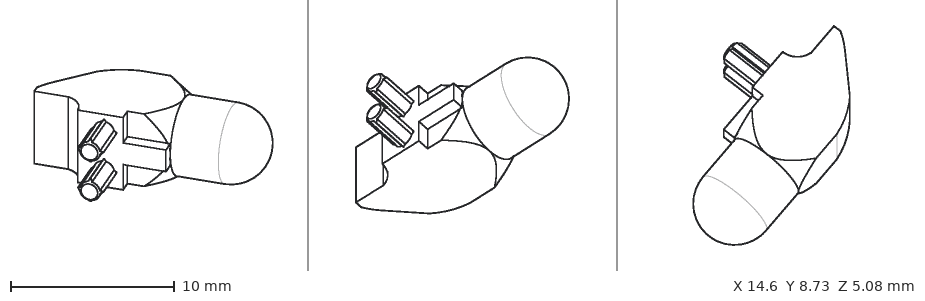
import cadquery as cq
import math

length = 14.59
radius = 2.54
thickness = 2 * radius
shoulder_x = 8.97

base_y = -3.37
step_y = -1.98
nose_top_y = -1.46
notch_start_x = 2.2
notch_end_x = 3.27
notch_radius = 1.45
slope_start = (0.76, -0.5)
slope_end = (2.86, 1.6)
crown_x = 5.3
corner_arc_radius = 5.25

cone_slope = 1.62

relief_x = 6.2
rib_width = 1.52

pin_x = 4.98
pin_spacing = 2.77
pin_tip_y = -6.19
pin_radius = 0.65
ridge_radius = 0.83
ridge_half_width = 0.13
tip_chamfer = 0.29


def arc_midpoint(start, end, arc_radius):
    """Middle of the minor arc bulging to the left of start -> end."""
    dx = end[0] - start[0]
    dy = end[1] - start[1]
    chord = math.hypot(dx, dy)
    sagitta = arc_radius - math.sqrt(arc_radius**2 - chord**2 / 4)
    mid_x = (start[0] + end[0]) / 2
    mid_y = (start[1] + end[1]) / 2
    return (mid_x - dy / chord * sagitta, mid_y + dx / chord * sagitta)


def make_body():
    nose_top = (0, nose_top_y)
    crown = (crown_x, radius)
    notch_start = (notch_start_x, step_y)
    notch_end = (notch_end_x, base_y)
    return (
        cq.Workplane("XY", origin=(0, 0, -thickness / 2))
        .moveTo(0, step_y)
        .lineTo(*nose_top)
        .threePointArc(arc_midpoint(nose_top, slope_start, corner_arc_radius), slope_start)
        .lineTo(*slope_end)
        .threePointArc(arc_midpoint(slope_end, crown, corner_arc_radius), crown)
        .lineTo(shoulder_x, radius)
        .lineTo(shoulder_x, base_y)
        .lineTo(*notch_end)
        .threePointArc(arc_midpoint(notch_start, notch_end, notch_radius), notch_start)
        .close()
        .extrude(thickness)
    )


def make_reliefs():
    """Blocks that leave only the rib below the barrel."""
    run = shoulder_x - relief_x
    depth = -radius - base_y
    height = (thickness - rib_width) / 2
    offset = (thickness + rib_width) / 4
    block = cq.Workplane("XY").box(run, depth, height, centered=(False, False, True))
    block = block.translate((relief_x, base_y, 0))
    return block.translate((0, 0, offset)).union(block.translate((0, 0, -offset)))


def make_cone_cutter():
    """Material outside the cone, within the square around the barrel."""
    run = shoulder_x - relief_x
    square = cq.Workplane("XY").box(run, thickness, thickness, centered=(False, True, True))
    square = square.translate((relief_x, 0, 0))
    cone = (
        cq.Workplane("XY")
        .moveTo(relief_x, 0)
        .lineTo(relief_x, radius + run / cone_slope)
        .lineTo(shoulder_x, radius)
        .lineTo(shoulder_x, 0)
        .close()
        .revolve(360, (0, 0), (1, 0))
    )
    return square.cut(cone)


def make_barrel():
    dome_x = length - radius
    dome_mid = (dome_x + radius * math.sqrt(0.5), radius * math.sqrt(0.5))
    return (
        cq.Workplane("XY")
        .moveTo(shoulder_x, 0)
        .lineTo(shoulder_x, radius)
        .lineTo(dome_x, radius)
        .threePointArc(dome_mid, (length, 0))
        .close()
        .revolve(360, (0, 0), (1, 0))
    )


def make_pin(z):
    """Round pin with four pointed ridges and a tapered tip."""
    pin_length = base_y - pin_tip_y
    plane = cq.Workplane("XZ", origin=(pin_x, base_y, z))
    pin = plane.circle(pin_radius).extrude(pin_length)
    foot_x = math.sqrt(pin_radius**2 - ridge_half_width**2)
    outline = [(0, 0), (foot_x, -ridge_half_width), (ridge_radius, 0), (foot_x, ridge_half_width)]
    ridge = plane.polyline(outline).close().extrude(pin_length)
    for turn in range(4):
        pin = pin.union(ridge.rotate((pin_x, 0, z), (pin_x, 1, z), 90 * turn))
    tip_limit = plane.circle(ridge_radius).extrude(pin_length).faces("<Y").chamfer(tip_chamfer)
    return pin.intersect(tip_limit)


result = make_body().cut(make_reliefs()).cut(make_cone_cutter()).union(make_barrel())
for side in (-1, 1):
    result = result.union(make_pin(side * pin_spacing / 2))